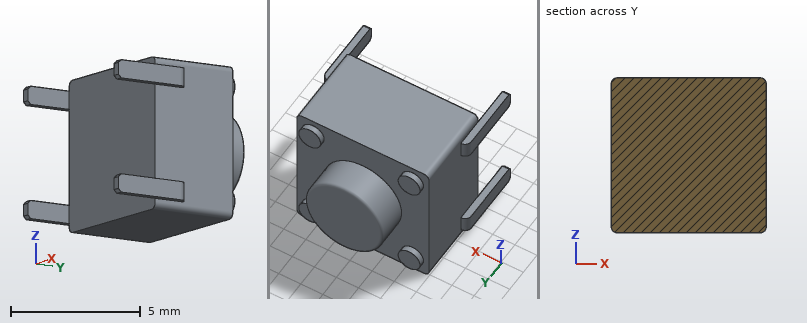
import cadquery as cq

housing_side = 5.99
housing_depth = 3.6
housing_corner_radius = 0.25

plunger_diameter = 3.5
plunger_height = 1.4
plunger_edge_fillet = 0.12

stud_diameter = 0.99
stud_height = 0.26
stud_offset = housing_side / 2 - housing_corner_radius - stud_diameter / 2

span_over_pins = 6.6
pin_thickness = (span_over_pins - housing_side) / 2
pin_width = 0.72
pin_offset = 2.245
pin_tip_drop = 1.91
pin_overlap = 1.265
pin_root_radius = 0.29
pin_tip_chamfer = 0.13


def make_housing():
    block = cq.Workplane("XY").box(
        housing_side, housing_depth, housing_side, centered=(True, False, True)
    )
    return block.edges("|Y").fillet(housing_corner_radius)


def cylinder_on_front(diameter, height, x=0, z=0):
    """Cylinder rising along +Y from the plunger-side face of the housing."""
    return cq.Workplane(
        cq.Solid.makeCylinder(
            diameter / 2, height, cq.Vector(x, housing_depth, z), cq.Vector(0, 1, 0)
        )
    )


def make_plunger():
    plunger = cylinder_on_front(plunger_diameter, plunger_height)
    return plunger.faces(">Y").edges().fillet(plunger_edge_fillet)


def make_pin(side, z):
    """Pin on the +X (side = 1) or -X (side = -1) wall, centred at height z."""
    outer_side = ">X" if side > 0 else "<X"
    center_x = side * (housing_side + pin_thickness) / 2
    center_y = (pin_overlap - pin_tip_drop) / 2
    pin = cq.Workplane("XY").box(pin_thickness, pin_overlap + pin_tip_drop, pin_width)
    pin = pin.faces(">Y").edges(outer_side).fillet(pin_root_radius)
    pin = pin.faces("<Y").edges("|X").chamfer(pin_tip_chamfer)
    return pin.translate((center_x, center_y, z))


result = make_housing().union(make_plunger())
for x_side in (-1, 1):
    for z_side in (-1, 1):
        stud = cylinder_on_front(
            stud_diameter, stud_height, x_side * stud_offset, z_side * stud_offset
        )
        result = result.union(stud)
        result = result.union(make_pin(x_side, z_side * pin_offset))